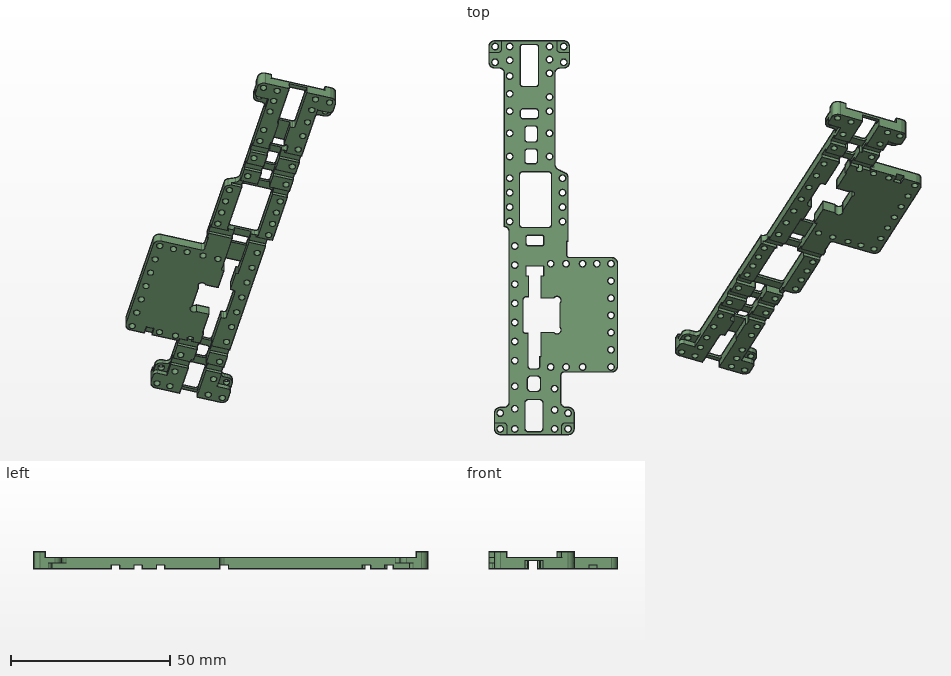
import cadquery as cq
import math

length = 123.7
wing_right = 40.5
total_height = 5.5

plate_top = 3.6
ear_underside = plate_top / 2
tunnel_height = 2.6
notch_height = 1.17

hole_diameter = 2.0

rear_spine_left = 4.8
rear_spine_right = 20.8
front_spine_left = 6.3
front_spine_right = 22.6
bulge_right = 24.9
neck_right = 24.5
wing_front = 19.7
wing_back = 55.7
wing_radius = 2.0
wing_root_radius = 1.0
spine_step_y = 65.3
spine_step_radius = 1.42
neck_step_y = 60.7

rear_ears = (0.0, 25.4)
front_ears = (1.7, 26.8)
end_radius = 2.0
ear_length = 8.7
root_radius = 1.5
foot_length = 5.7
foot_radius = 1.1

boss_width = 4.0
boss_length = 3.7
boss_inner_radius = 1.0

sharp = 0.0


def rounded_profile(corners):
    """Closed outline from (x, y, radius) corners, each corner rounded by its radius."""
    stretches = []
    for i, (x, y, radius) in enumerate(corners):
        corner = cq.Vector(x, y)
        before = (cq.Vector(*corners[i - 1][:2]) - corner).normalized()
        after = (cq.Vector(*corners[(i + 1) % len(corners)][:2]) - corner).normalized()
        if radius == sharp:
            stretches.append([corner])
            continue
        half_angle = before.getAngle(after) / 2
        setback = radius / math.tan(half_angle)
        bisector = (before + after).normalized()
        crown = corner + bisector * (radius / math.sin(half_angle) - radius)
        stretches.append([corner + before * setback, crown, corner + after * setback])

    start = stretches[0][-1]
    profile = cq.Workplane("XY").moveTo(start.x, start.y)
    for stretch in stretches[1:]:
        profile = profile.lineTo(stretch[0].x, stretch[0].y)
        if len(stretch) > 1:
            profile = profile.threePointArc(stretch[1].toTuple()[:2], stretch[2].toTuple()[:2])
    first = stretches[0]
    if len(first) > 1:
        profile = profile.lineTo(first[0].x, first[0].y)
        profile = profile.threePointArc(first[1].toTuple()[:2], first[2].toTuple()[:2])
    return profile.close()


def block(left, right, front, back, bottom, top):
    """Plain box between the given limits."""
    size = (right - left, back - front, top - bottom)
    return cq.Workplane("XY").box(*size, centered=False).translate((left, front, bottom))


def rounded_block(left, right, front, back, height, radius):
    """Box on Z = 0 with rounded vertical edges."""
    return block(left, right, front, back, 0, height).edges("|Z").fillet(radius)


def plate_layer(ear_reach, ear_radius, ear_root_radius, thickness):
    """Full plan outline with ears that reach the given distance in from each end."""
    rear_ear_y = length - ear_reach
    corners = [
        (front_ears[0], 0, end_radius),
        (front_ears[1], 0, end_radius),
        (front_ears[1], ear_reach, ear_radius),
        (front_spine_right, ear_reach, ear_root_radius),
        (front_spine_right, wing_front, wing_root_radius),
        (wing_right, wing_front, wing_radius),
        (wing_right, wing_back, wing_radius),
        (neck_right, wing_back, 0.7),
        (neck_right, neck_step_y, sharp),
        (bulge_right, neck_step_y, sharp),
        (bulge_right, 81.8, 1.5),
        (rear_spine_right, 83.7, 2.0),
        (rear_spine_right, rear_ear_y, ear_root_radius),
        (rear_ears[1], rear_ear_y, ear_radius),
        (rear_ears[1], length, end_radius),
        (rear_ears[0], length, end_radius),
        (rear_ears[0], rear_ear_y, ear_radius),
        (rear_spine_left, rear_ear_y, ear_root_radius),
        (rear_spine_left, spine_step_y, sharp),
        (front_spine_left, spine_step_y, spine_step_radius),
        (front_spine_left, ear_reach, ear_root_radius),
        (front_ears[0], ear_reach, ear_radius),
    ]
    return rounded_profile(corners).extrude(thickness)


def corner_boss(outer_x, inward_x, outer_y, inward_y):
    """Full-height corner pad; inward_x and inward_y are +1 or -1 towards the plate."""
    inner_x = outer_x + inward_x * boss_width
    inner_y = outer_y + inward_y * boss_length
    corners = [
        (outer_x, outer_y, end_radius),
        (inner_x, outer_y, sharp),
        (inner_x, inner_y, boss_inner_radius),
        (outer_x, inner_y, sharp),
    ]
    return rounded_profile(corners).extrude(total_height)


lower_layer = plate_layer(foot_length, foot_radius, sharp, ear_underside)
upper_layer = plate_layer(ear_length, end_radius, root_radius, plate_top - ear_underside)
body = lower_layer.union(upper_layer.translate((0, 0, ear_underside)))

for ears, end_y, inward_y in ((front_ears, 0, 1), (rear_ears, length, -1)):
    body = body.union(corner_boss(ears[0], 1, end_y, inward_y))
    body = body.union(corner_boss(ears[1], -1, end_y, inward_y))

front_sides = (11.4, 17.0)
square_sides = (12.1, 16.2)
head_sides = (11.7, 17.2)
bay_sides = (9.6, 19.7)
small_sides = (11.4, 15.2)
rear_sides = (9.9, 15.6)
square_front = 13.6

windows = [
    (front_sides, 1.0, 11.0, 1.0),
    (square_sides, square_front, 18.4, 1.1),
    (head_sides, 59.4, 62.6, 0.5),
    (bay_sides, 65.0, 82.5, 1.0),
    (small_sides, 85.1, 89.7, 0.7),
    (small_sides, 91.9, 96.8, 0.7),
    (rear_sides, 99.2, 102.3, 1.0),
    (rear_sides, 109.3, 122.5, 0.7),
]
for (left, right), front, back, radius in windows:
    body = body.cut(rounded_block(left, right, front, back, plate_top, radius))

slot_front = 20.7
slot_back = 52.9
head_front = 49.8
neck_left = 12.5
middle_left = 10.8
middle_right = 22.3
middle_left_front = 31.9
middle_left_back = 43.3
middle_right_front = 32.2
middle_right_back = 42.9
tail_left = 12.4
tail_right = 16.0
tail_step_y = 24.5
tail_radius = 0.9
slot_right = 16.3
slot_corners = [
    (head_sides[0], slot_back, sharp),
    (head_sides[0], head_front, sharp),
    (neck_left, head_front, sharp),
    (neck_left, middle_left_back, sharp),
    (middle_left, middle_left_back, 1.0),
    (middle_left, middle_left_front, 0.7),
    (tail_left, middle_left_front, sharp),
    (tail_left, slot_front, tail_radius),
    (tail_right, slot_front, tail_radius),
    (tail_right, tail_step_y, sharp),
    (slot_right, tail_step_y, sharp),
    (slot_right, middle_right_front, sharp),
    (middle_right, middle_right_front, sharp),
    (middle_right, middle_right_back, sharp),
    (slot_right, middle_right_back, sharp),
    (slot_right, head_front, sharp),
    (head_sides[1], head_front, sharp),
    (head_sides[1], slot_back, sharp),
]
body = body.cut(rounded_profile(slot_corners).extrude(plate_top))

relief_radius = 1.2
relief_points = [(21.4, 32.9), (21.4, 42.2)]
body = body.cut(cq.Workplane("XY").pushPoints(relief_points).circle(relief_radius).extrude(plate_top))

tunnels = [
    (front_sides, 0, square_front),
    (square_sides, square_front, slot_front),
    ((tail_left, tail_right), slot_front, slot_front + tail_radius),
    (head_sides, slot_back, 74.2),
    (bay_sides, 74.2, 85.1),
    (small_sides, 85.1, 116.3),
    (rear_sides, 116.3, length),
]
for (left, right), front, back in tunnels:
    body = body.cut(block(left, right, front, back, 0, tunnel_height))

spine_middle = (front_spine_left + front_spine_right) / 2
wing_notch_depth = 2.5
notches = [
    (front_spine_left, spine_middle, 10.9, 13.5),
    (spine_middle, front_spine_right, 10.1, 12.7),
    (front_spine_left, front_spine_right, 17.9, 20.5),
    (front_spine_right, front_spine_right + wing_root_radius, 17.9, wing_front),
    (rear_spine_left, bulge_right, 62.6, 65.2),
    (rear_spine_left, bulge_right, 82.6, 85.1),
    (rear_spine_left, rear_spine_right, 89.7, 92.1),
    (rear_spine_left, rear_spine_right, 96.7, 99.3),
    (31.4, 33.9, wing_front, wing_front + wing_notch_depth),
]
for left, right, front, back in notches:
    body = body.cut(block(left, right, front, back, 0, notch_height))


def evenly_spaced(first, last, count):
    """Places from first to last with equal gaps."""
    return [first + (last - first) * i / (count - 1) for i in range(count)]


rear_ear_hole_y = [116.9, 121.8]
front_ear_hole_y = [1.9, 6.8]
bulge_hole_y = evenly_spaced(66.9, 80.5, 4)
shared_rear_hole_y = [87.3, 94.6, 101.5, 121.8]
wing_hole_y = evenly_spaced(21.3, 53.7, 7)
wing_edge_hole_y = [wing_hole_y[0], wing_hole_y[-1]]
hole_columns = [
    (6.5, bulge_hole_y + shared_rear_hole_y + [107.0, 112.5, 117.5]),
    (19.0, shared_rear_hole_y + [106.0, 113.4, 117.7]),
    (23.1, bulge_hole_y),
    (8.2, [1.9, 8.2, 15.2] + evenly_spaced(23.3, 59.2, 7)),
    (20.7, [1.9, 7.8, 14.5]),
    (38.3, wing_hole_y),
    (33.9, wing_edge_hole_y[-1:]),
    (19.4, wing_edge_hole_y),
    (24.2, wing_edge_hole_y),
    (29.4, wing_edge_hole_y),
    (2.0, rear_ear_hole_y),
    (23.5, rear_ear_hole_y),
    (3.6, front_ear_hole_y),
    (24.9, front_ear_hole_y),
]
hole_points = [(x, y) for x, places in hole_columns for y in places]
holes = cq.Workplane("XY").pushPoints(hole_points).circle(hole_diameter / 2).extrude(total_height)

result = body.cut(holes)